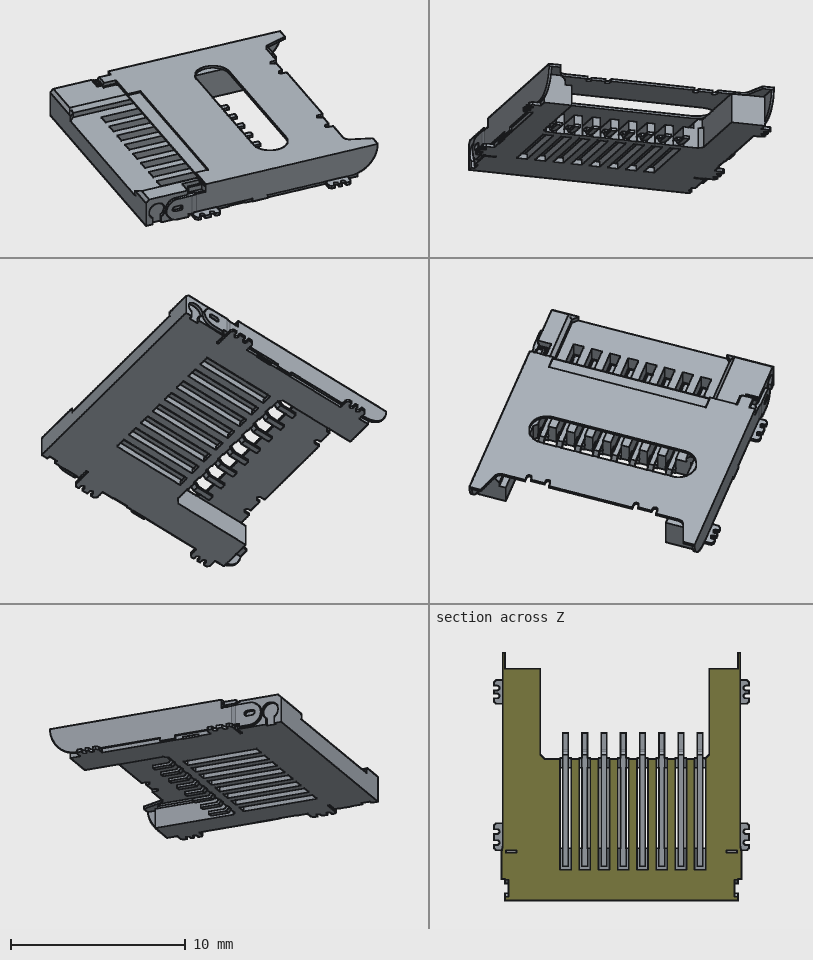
import cadquery as cq


total_width = 14.6
total_depth = 14.5
total_height = 1.95

housing_half = 6.68
housing_depth = 13.28
housing_top = 1.73
channel_floor = 1.19
channel_left = -4.15
channel_right = 5.41
channel_corner = 0.3
channel_bevel = 0.24
channel_bevel_angle = 45
front_bevel = 0.2
bay_left = -4.65
bay_right = 5.02
bay_front = 8.12
bay_corner = 0.25

cover_half = 6.81
sheet = 0.15
cover_front = 3.7
cover_rear = 12.98
skirt_bottom = 0.25
skirt_arc = 1.7
ear_tip_inner = 6.12
ear_root_inner = 5.6
ear_root_radius = 0.4
window_length = 10.0
window_width = 2.04
window_y = 9.0
recess_left = -4.08
recess_right = 5.4
recess_rear = 4.49
recess_depth = 0.1
rear_slit_outer = 3.8
rear_slit_inner = 2.67
rear_slit_width = 0.3
rear_slit_end = 12.55
rear_lip = 12.85
foot_front = 6.63
foot_rear = 7.57
foot_bottom = 0.05

latch_left = -6.44
latch_right = -5.74
latch_front = 2.87
latch_thickness = 0.22
latch_bevel = 0.1

hinge_half = 6.87
hinge_top = 1.44
hinge_bottom = 0.07
hinge_end = 1.21
hinge_step = 2.58
joggle_start = 3.1
joggle_end = 2.8
hinge_inner = 6.6
hinge_hole_y = 1.91
hinge_hole_z = 0.81
hinge_hole_length = 0.64
hinge_hole_width = 0.32

keyhole_y = 0.7
keyhole_z = 0.83
keyhole_radius = 0.5
keyhole_neck = 0.54
keyhole_depth = 0.2

side_notch_front = 5.2
side_notch_rear = 6.2
side_notch_height = 0.12
side_notch_depth = 0.05

pocket_floor = 1.3
ledge_level = 1.68
pocket_front = 2.87
ledge_front = 2.62
left_pocket_inner = -5.61
left_ledge_inner = -5.9
right_pocket_inner = 5.88
slit_front = 2.74
slit_rear = 2.865
slit_length = 0.66
post_inner = -6.57
post_front = 3.46
post_top = 1.57
rib_left = 6.1
rib_right = 6.23
rib_top = 1.62

tab_thickness = 0.18
tab_corner = 0.13
tab_notch_depth = 0.31
tab_notch_width = 0.26
solder_tabs = [
    (2.87, 4.44, (3.32, 3.95)),
    (11.26, 12.64, (11.72, 12.17)),
]

contact_count = 8
contact_pitch = 1.1
contact_first_x = -3.2
contact_width = 0.33
contact_thickness = 0.15
contact_front = 1.98
contact_level = 0.3
bend_front = 8.36
bend_rear = 8.63
bend_run = 0.08
bend_rise = 0.05
contact_rear = 9.6
groove_width = 0.62
groove_front = 1.78
groove_through_front = 3.0
bridge_front = 7.6
bridge_rear = 8.17


def block(x0, x1, y0, y1, z0, z1):
    """Box spanning the given limits."""
    return cq.Workplane("XY").box(x1 - x0, y1 - y0, z1 - z0, centered=False).translate((x0, y0, z0))


def mirrored(shape):
    """The shape joined with its mirror image across the centre plane."""
    return shape.union(shape.mirror("YZ"))


def make_channel():
    """Card channel, cut from its floor upwards, with bevelled upper walls."""
    height = housing_top - channel_floor
    channel = (
        cq.Workplane("XY", origin=(0, 0, channel_floor))
        .moveTo(channel_left + channel_corner, 0)
        .lineTo(channel_right - channel_corner, 0)
        .lineTo(channel_right, channel_corner)
        .lineTo(channel_right, housing_depth)
        .lineTo(bay_left, housing_depth)
        .lineTo(bay_left, bay_front)
        .lineTo(channel_left, bay_front)
        .lineTo(channel_left, channel_corner)
        .close()
        .extrude(height)
    )
    flare_front = -channel_bevel
    flare = (
        cq.Workplane("XY", origin=(0, 0, housing_top - channel_bevel))
        .moveTo(channel_left + channel_corner - flare_front, flare_front)
        .lineTo(channel_right - channel_corner + flare_front, flare_front)
        .lineTo(channel_right, channel_corner)
        .lineTo(channel_right, housing_depth + channel_bevel)
        .lineTo(channel_left, housing_depth + channel_bevel)
        .lineTo(channel_left, channel_corner)
        .close()
        .extrude(channel_bevel, taper=-channel_bevel_angle)
    )
    left_rail = block(-housing_half, channel_left, bay_front, total_depth, 0, total_height)
    return channel.union(flare.cut(left_rail))


def make_bay():
    """Opening through the housing behind the contacts, with its front corners cut off."""
    return (
        cq.Workplane("XY")
        .moveTo(bay_left + bay_corner, bay_front)
        .lineTo(bay_right - bay_corner, bay_front)
        .lineTo(bay_right, bay_front + bay_corner)
        .lineTo(bay_right, housing_depth)
        .lineTo(bay_left, housing_depth)
        .lineTo(bay_left, bay_front + bay_corner)
        .close()
        .extrude(housing_top)
    )


def make_keyhole():
    """Keyhole recess in the left side of the housing."""
    surface = cq.Workplane("YZ", origin=(-housing_half, 0, 0))
    bulb = surface.center(keyhole_y, keyhole_z).circle(keyhole_radius).extrude(keyhole_depth)
    neck = block(
        -housing_half, -housing_half + keyhole_depth,
        keyhole_y - keyhole_neck / 2, keyhole_y + keyhole_neck / 2,
        0, keyhole_z,
    )
    return bulb.union(neck)


def make_corner_pockets():
    """Stepped pockets in both front corners of the housing, each with a slit through."""
    left = block(-housing_half, left_pocket_inner, pocket_front, cover_front, pocket_floor, housing_top)
    left = left.union(
        block(-housing_half, left_ledge_inner, ledge_front, pocket_front, ledge_level, housing_top)
    )
    left = left.cut(block(-housing_half, post_inner, post_front, cover_front, pocket_floor, post_top))
    right = block(right_pocket_inner, housing_half, ledge_front, cover_front, pocket_floor, housing_top)
    right = right.cut(block(rib_left, rib_right, pocket_front, cover_front, pocket_floor, rib_top))
    slit = block(-housing_half, -housing_half + slit_length, slit_front, slit_rear, 0, housing_top)
    return left.union(right).union(mirrored(slit))


def make_housing():
    housing = block(-housing_half, housing_half, 0, housing_depth, 0, housing_top)
    housing = housing.faces("<Y").edges(">Z").chamfer(front_bevel)
    side_notch = block(
        -housing_half, -housing_half + side_notch_depth,
        side_notch_front, side_notch_rear,
        0, side_notch_height,
    )
    housing = housing.cut(make_channel()).cut(make_bay()).cut(make_corner_pockets())
    return housing.cut(mirrored(make_keyhole())).cut(mirrored(side_notch))


def make_rear_cutout():
    """Space between the two rear ears of the cover, with rounded inner corners."""
    floor = total_height - sheet
    cutout = (
        cq.Workplane("XY", origin=(0, 0, floor))
        .moveTo(-ear_tip_inner, total_depth)
        .lineTo(-ear_root_inner, cover_rear)
        .lineTo(ear_root_inner, cover_rear)
        .lineTo(ear_tip_inner, total_depth)
        .close()
        .extrude(sheet)
    )
    return cutout.edges("|Z and <Y").fillet(ear_root_radius)


def make_rear_slits():
    """Two pairs of round-ended slits in the rear edge, with a set-back lip in each pair."""
    floor = total_height - sheet
    radius = rear_slit_width / 2
    pair = block(rear_slit_inner, rear_slit_outer, rear_lip, cover_rear, floor, total_height)
    for x in (rear_slit_inner, rear_slit_outer):
        pair = pair.union(
            block(x - radius, x + radius, rear_slit_end + radius, cover_rear, floor, total_height)
        )
        pair = pair.union(
            cq.Workplane("XY", origin=(x, rear_slit_end + radius, floor)).circle(radius).extrude(sheet)
        )
    return mirrored(pair)


def make_skirt():
    """Left side wall of the cover: rounded rear end, low front end and a small foot."""
    arc_centre_y = total_depth - skirt_arc
    skirt = (
        cq.Workplane("YZ", origin=(-cover_half, 0, 0))
        .moveTo(joggle_start, skirt_bottom)
        .lineTo(arc_centre_y, skirt_bottom)
        .radiusArc((total_depth, total_height), -skirt_arc)
        .lineTo(cover_front, total_height)
        .lineTo(cover_front, hinge_top)
        .lineTo(joggle_start, hinge_top)
        .close()
        .extrude(sheet)
    )
    foot = block(-cover_half, -cover_half + sheet, foot_front, foot_rear, foot_bottom, skirt_bottom)
    return skirt.union(foot)


def make_latch():
    """Bevelled tab projecting from the left of the cover's front edge."""
    latch = block(
        latch_left, latch_right, latch_front, cover_front + sheet,
        total_height - latch_thickness, total_height,
    )
    return latch.faces("<Y").edges(">Z").chamfer(latch_bevel)


def make_cover():
    floor = total_height - sheet
    cover = block(-cover_half, cover_half, cover_front, total_depth, floor, total_height)
    window = (
        cq.Workplane("XY", origin=(0, window_y, floor)).slot2D(window_length, window_width).extrude(sheet)
    )
    recess = block(
        recess_left, recess_right, cover_front, recess_rear,
        total_height - recess_depth, total_height,
    )
    cover = cover.cut(make_rear_cutout()).cut(make_rear_slits()).cut(window).cut(recess)
    return cover.union(mirrored(make_skirt())).union(make_latch())


def make_hinge_arm():
    """Left hinge arm: stepped outwards from the skirt, round-ended, with an oblong hole."""
    height = hinge_top - hinge_bottom
    radius = height / 2
    end_centre_y = hinge_end + radius
    joggle = (
        cq.Workplane("XY", origin=(0, 0, skirt_bottom))
        .moveTo(-cover_half, joggle_start)
        .lineTo(-hinge_half, joggle_end)
        .lineTo(-hinge_inner, joggle_end)
        .lineTo(-hinge_inner, joggle_start)
        .close()
        .extrude(hinge_top - skirt_bottom)
    )
    arm = (
        cq.Workplane("YZ", origin=(-hinge_half, 0, 0))
        .moveTo(hinge_step, hinge_bottom)
        .lineTo(hinge_step, skirt_bottom)
        .lineTo(joggle_end, skirt_bottom)
        .lineTo(joggle_end, hinge_top)
        .lineTo(end_centre_y, hinge_top)
        .threePointArc((hinge_end, hinge_bottom + radius), (end_centre_y, hinge_bottom))
        .close()
        .extrude(hinge_half - hinge_inner)
    )
    hole = (
        cq.Workplane("YZ", origin=(-hinge_half, hinge_hole_y, hinge_hole_z))
        .slot2D(hinge_hole_length, hinge_hole_width)
        .extrude(hinge_half - hinge_inner)
    )
    return arm.cut(hole).union(joggle)


def make_solder_tab(front, rear, notch_positions):
    """Left solder tab with bevelled outer corners and round-ended notches."""
    outer = -total_width / 2
    radius = tab_notch_width / 2
    tab = block(outer, -hinge_inner, front, rear, 0, tab_thickness)
    tab = tab.faces("<X").edges("|Z").chamfer(tab_corner)
    for y in notch_positions:
        notch_centre = outer + tab_notch_depth - radius
        tab = tab.cut(block(outer, notch_centre, y - radius, y + radius, 0, tab_thickness))
        tab = tab.cut(
            cq.Workplane("XY", origin=(notch_centre, y, 0)).circle(radius).extrude(tab_thickness)
        )
    return tab


def make_groove(x):
    """Clearance around one contact: a blind front end, then open through the floor."""
    left = x - groove_width / 2
    right = x + groove_width / 2
    blind = block(left, right, groove_front, groove_through_front, contact_level, channel_floor)
    through = block(left, right, groove_through_front, bay_front, 0, channel_floor)
    return blind.union(through)


def make_contact(x):
    """Contact strip resting on a bridge and bent down to a solder tail at the rear."""
    left = x - contact_width / 2
    top = contact_level + contact_thickness
    strip = (
        cq.Workplane("YZ", origin=(left, 0, 0))
        .moveTo(contact_front, contact_level)
        .lineTo(contact_front, top)
        .lineTo(bend_front, top)
        .lineTo(bend_rear - bend_run, contact_thickness + bend_rise)
        .threePointArc(
            (bend_rear - bend_run / 2, contact_thickness + bend_rise / 4),
            (bend_rear, contact_thickness),
        )
        .lineTo(contact_rear, contact_thickness)
        .lineTo(contact_rear, 0)
        .lineTo(bend_rear - contact_thickness, 0)
        .lineTo(bend_front - contact_thickness, contact_level)
        .close()
        .extrude(contact_width)
    )
    bridge = block(
        x - groove_width / 2, x + groove_width / 2, bridge_front, bridge_rear, 0, contact_level
    )
    return strip.union(bridge)


result = make_housing().union(make_cover()).union(mirrored(make_hinge_arm()))
for tab_front, tab_rear, tab_notches in solder_tabs:
    result = result.union(mirrored(make_solder_tab(tab_front, tab_rear, tab_notches)))
for index in range(contact_count):
    contact_x = contact_first_x + index * contact_pitch
    result = result.cut(make_groove(contact_x)).union(make_contact(contact_x))